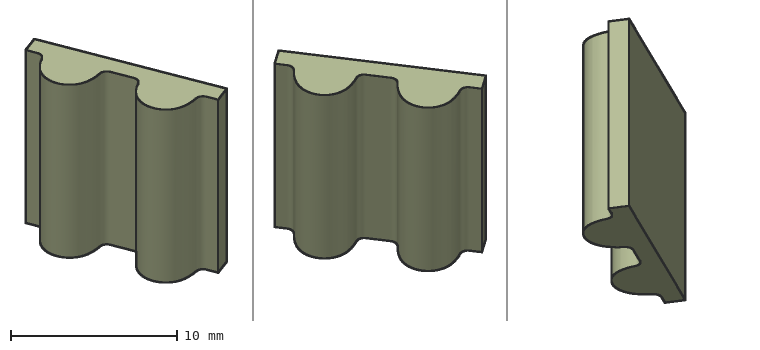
import cadquery as cq
import math

LENGTH = 12.7
WIDTH = 12.7
TOTAL_DEPTH = 3.68
BACK_THICKNESS = 1.28
TOOTH_COUNT = 2
PITCH = LENGTH / TOOTH_COUNT

ROOT_RADIUS = 0.5
FLANK_RADIUS = 3.18
FLANK_OFFSET = 1.23
TIP_RADIUS = 1.79

ROOT_Y = -BACK_THICKNESS
TIP_Y = -TOTAL_DEPTH

tip_center = (0, TIP_Y + TIP_RADIUS)
tip_to_flank = FLANK_RADIUS - TIP_RADIUS
flank_center = (-FLANK_OFFSET, tip_center[1] + math.sqrt(tip_to_flank**2 - FLANK_OFFSET**2))
root_center_y = ROOT_Y - ROOT_RADIUS
flank_to_root = FLANK_RADIUS + ROOT_RADIUS
root_run = math.sqrt(flank_to_root**2 - (flank_center[1] - root_center_y)**2)
root_center = (flank_center[0] + root_run, root_center_y)


def on_circle(center, radius, angle):
    """Point on a circle at an angle in radians."""
    return (center[0] + radius * math.cos(angle), center[1] + radius * math.sin(angle))


def direction(start, end):
    """Angle in radians of the line from start to end."""
    return math.atan2(end[1] - start[1], end[0] - start[0])


root_angle = direction(flank_center, root_center)
tip_angle = direction(flank_center, tip_center)
root_start = (root_center[0], ROOT_Y)
root_mid = on_circle(root_center, ROOT_RADIUS, (math.pi / 2 + root_angle + math.pi) / 2)
flank_start = on_circle(flank_center, FLANK_RADIUS, root_angle)
flank_mid = on_circle(flank_center, FLANK_RADIUS, (root_angle + tip_angle) / 2)
flank_end = on_circle(flank_center, FLANK_RADIUS, tip_angle)


def add_tooth(outline, axis_x):
    """Continue the outline around one tooth, from its -X side to its +X side."""
    def left(point):
        return (axis_x - point[0], point[1])

    def right(point):
        return (axis_x + point[0], point[1])

    return (
        outline.lineTo(*left(root_start))
        .threePointArc(left(root_mid), left(flank_start))
        .threePointArc(left(flank_mid), left(flank_end))
        .threePointArc((axis_x, TIP_Y), right(flank_end))
        .threePointArc(right(flank_mid), right(flank_start))
        .threePointArc(right(root_mid), right(root_start))
    )


profile = cq.Workplane("XY").moveTo(0, 0).lineTo(0, ROOT_Y)
for tooth in range(TOOTH_COUNT):
    profile = add_tooth(profile, (tooth + 0.5) * PITCH)
profile = profile.lineTo(LENGTH, ROOT_Y).lineTo(LENGTH, 0).close()

result = profile.extrude(WIDTH)